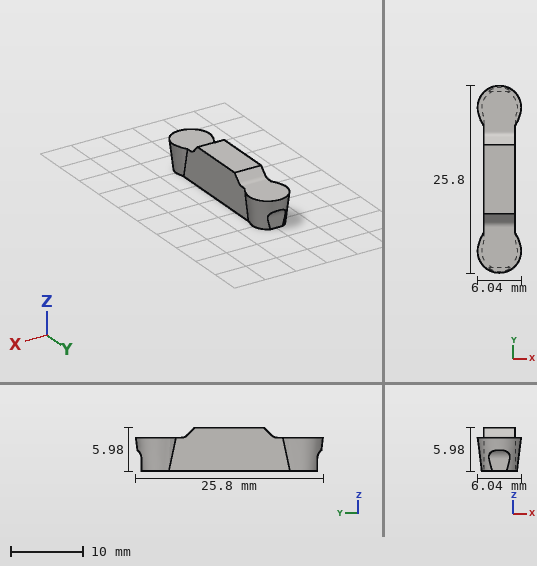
import cadquery as cq
import math

length = 25.78
total_height = 5.98
shelf_height = 4.61
body_width = 4.33

head_top_radius = 3.02
head_bottom_radius = 2.45
head_center_y = length / 2 - head_top_radius

ridge_half_length = 4.77
ridge_foot_y = ridge_half_length + total_height - shelf_height
foot_radius = 1.03
body_half_length = 8.5

facet_start_top = 8.77
facet_start_bottom = 9.0
facet_bend_top_y = 8.15
facet_bend_top_x = 2.6
facet_bend_bottom_y = 8.35
facet_end_top = 7.35
facet_end_bottom = 8.33

relief_flat_y = 12.12
relief_flat_height = 1.7
relief_radius = 1.55


def make_body():
    """Straight bar with a ridge blended into the two lower shelves."""
    profile = [
        (-body_half_length, 0),
        (body_half_length, 0),
        (body_half_length, shelf_height),
        (ridge_foot_y, shelf_height),
        (ridge_half_length, total_height),
        (-ridge_half_length, total_height),
        (-ridge_foot_y, shelf_height),
        (-body_half_length, shelf_height),
    ]
    body = cq.Workplane("YZ").polyline(profile).close().extrude(body_width / 2, both=True)
    for side in (-1, 1):
        foot = cq.selectors.NearestToPointSelector((0, side * ridge_foot_y, shelf_height))
        body = body.edges("|X").edges(foot).fillet(foot_radius)
    return body


def make_cone():
    """Tapered round head at the +Y end."""
    return (
        cq.Workplane("XY")
        .center(0, head_center_y)
        .circle(head_bottom_radius)
        .workplane(offset=shelf_height)
        .circle(head_top_radius)
        .loft()
    )


def mirrored_outline(half_outline):
    """Add the reflection across the YZ plane to a right-hand outline."""
    return half_outline + [(-x, y) for x, y in reversed(half_outline)]


def make_neck():
    """Two sloping facets per side, the second one closing to a point at the base."""
    start_top_x = math.sqrt(head_top_radius**2 - (head_center_y - facet_start_top) ** 2)
    start_bottom_x = math.sqrt(head_bottom_radius**2 - (head_center_y - facet_start_bottom) ** 2)
    bottom = [
        (start_bottom_x, facet_start_bottom),
        (body_width / 2, facet_bend_bottom_y),
        (body_width / 2, facet_end_bottom),
    ]
    top = [
        (start_top_x, facet_start_top),
        (facet_bend_top_x, facet_bend_top_y),
        (body_width / 2, facet_end_top),
    ]
    return (
        cq.Workplane("XY")
        .polyline(mirrored_outline(bottom))
        .close()
        .workplane(offset=shelf_height)
        .polyline(mirrored_outline(top))
        .close()
        .loft(ruled=True)
    )


def make_relief():
    """Cutter with a vertical flat that curves outward at its top."""
    outer_y = relief_flat_y + relief_radius
    diagonal = relief_radius * math.sqrt(0.5)
    return (
        cq.Workplane("YZ")
        .moveTo(relief_flat_y, 0)
        .lineTo(relief_flat_y, relief_flat_height)
        .threePointArc(
            (outer_y - diagonal, relief_flat_height + diagonal),
            (outer_y, relief_flat_height + relief_radius),
        )
        .lineTo(outer_y, 0)
        .close()
        .extrude(head_top_radius, both=True)
    )


head = make_cone().union(make_neck()).cut(make_relief())
result = make_body().union(head).union(head.mirror("XZ"))